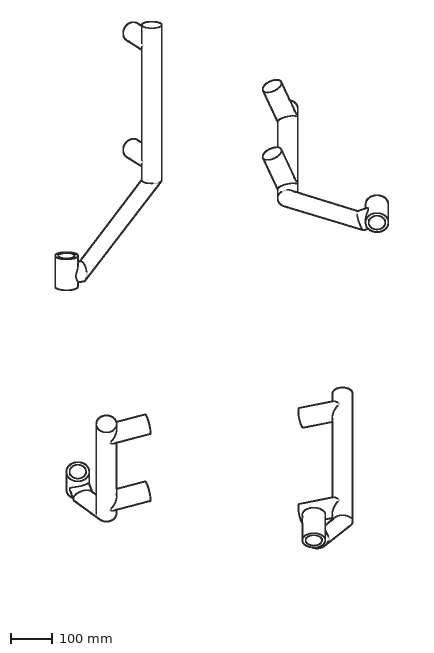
import cadquery as cq

total_height = 637.5
bar_diameter = 50.0
post_length = 399.5
arm_reach = 105.0
arm_end_margin = 50.0
sleeve_outer_diameter = 56.0
sleeve_bore_diameter = 40.0
sleeve_height = 79.5
sleeve_offset = 233.0
stub_length = 43.0
stub_axis_height = 32.5

bar_radius = bar_diameter / 2
post_bottom = total_height - post_length
stub_start_y = stub_length - sleeve_offset
arm_heights = (total_height - arm_end_margin, post_bottom + arm_end_margin)

x_axis = cq.Vector(1, 0, 0)
y_axis = cq.Vector(0, 1, 0)
z_axis = cq.Vector(0, 0, 1)
post_base = cq.Vector(0, 0, post_bottom)
stub_start = cq.Vector(0, stub_start_y, stub_axis_height)
sleeve_base = cq.Vector(0, -sleeve_offset, 0)


def make_bar(start, direction, length):
    """Round bar of the common diameter."""
    return cq.Workplane(cq.Solid.makeCylinder(bar_radius, length, start, direction))


def make_strut():
    """Slanted bar ruled from the level post end to the upright stub end."""

    def end_circle(center, normal):
        plane = cq.Plane(origin=center, xDir=x_axis, normal=normal)
        return cq.Workplane(plane).circle(bar_radius).wires().val()

    ends = [end_circle(post_base, z_axis), end_circle(stub_start, y_axis)]
    return cq.Workplane(cq.Solid.makeLoft(ends, True))


def make_sleeve_cylinder(diameter):
    return cq.Workplane(cq.Solid.makeCylinder(diameter / 2, sleeve_height, sleeve_base, z_axis))


frame = make_bar(post_base, z_axis, post_length)
for height in arm_heights:
    frame = frame.union(make_bar(cq.Vector(0, 0, height), -x_axis, arm_reach))

frame = frame.union(make_strut())
frame = frame.union(make_bar(stub_start, -y_axis, stub_length))

frame = frame.union(make_sleeve_cylinder(sleeve_outer_diameter))
result = frame.cut(make_sleeve_cylinder(sleeve_bore_diameter))